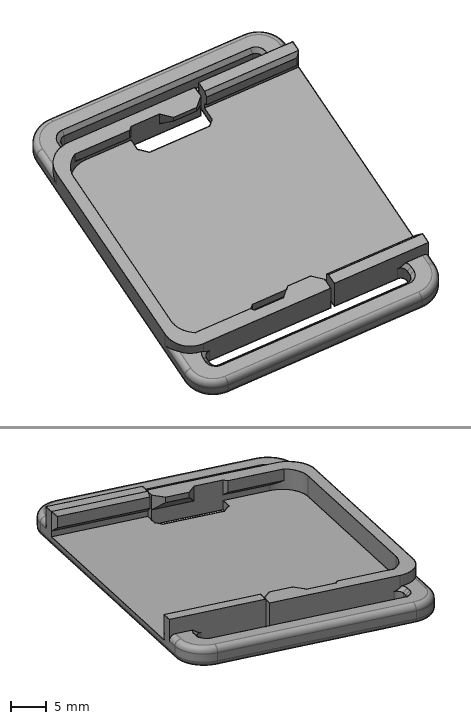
import cadquery as cq

LENGTH = 52.5
DEPTH = 39.85
BASE_HEIGHT = 3.0
BASE_CORNER_RADIUS = 4.45
TOP_EDGE_RADIUS = 0.95
BOTTOM_EDGE_RADIUS = 0.8

TRAY_HALF_WIDTH = 19.95
TRAY_CORNER_RADIUS = 4.0
WALL_HEIGHT = 4.65
RAIL_HEIGHT = 5.4
RAIL_START = 24.85
WALL_GAP = 0.6
WALL_END = RAIL_START - WALL_GAP

FLOOR_HEIGHT = 1.45
WALL_LIP_DEPTH = 0.5
RAIL_LIP_DEPTH = 0.65
CHANNEL_HALF_WIDTH = 18.2
UNDERCUT_START = 2.35
FRONT_WALL = 1.85

WINDOW_START = 13.1
WINDOW_HALF_SPAN = 15.1
WINDOW_FRONT_CHAMFER = 1.25
WINDOW_REAR_CHAMFER = 0.9
TOOTH_DEPTH = 1.45
TOOTH_LENGTH = 6.6

SLOT_WIDTH = 2.8
SLOT_START = 3.95
SLOT_CORNER_RADIUS = 1.0
SLOT_RIM_BEVEL = 0.65
BEVEL_ANGLE = 45
SLOT_LENGTH = DEPTH - 2 * SLOT_START
SLOT_CENTRE = (TRAY_HALF_WIDTH + SLOT_WIDTH / 2, DEPTH / 2)


def mirrored(solid):
    """Return the solid together with its mirror image across the YZ plane."""
    return solid.union(solid.mirror("YZ"))


def prism(points, height, bottom=0.0):
    """Extrude a closed XY outline upward from the given level."""
    return cq.Workplane("XY", origin=(0, 0, bottom)).polyline(points).close().extrude(height - bottom)


def block(x_range, y_range, z_range):
    """Return a box spanning the given ranges."""
    (x0, x1), (y0, y1), (z0, z1) = x_range, y_range, z_range
    return cq.Workplane("XY").box(x1 - x0, y1 - y0, z1 - z0, centered=False).translate((x0, y0, z0))


def base_plate():
    """Rounded plate with one strap slot near each end."""
    plate = cq.Workplane("XY").box(LENGTH, DEPTH, BASE_HEIGHT, centered=(True, False, False))
    plate = plate.edges("|Z").fillet(BASE_CORNER_RADIUS)
    plate = plate.faces(">Z").edges().fillet(TOP_EDGE_RADIUS)
    plate = plate.faces("<Z").edges().fillet(BOTTOM_EDGE_RADIUS)

    slot = (
        cq.Workplane("XY")
        .center(*SLOT_CENTRE)
        .rect(SLOT_WIDTH, SLOT_LENGTH)
        .extrude(BASE_HEIGHT)
        .edges("|Z")
        .fillet(SLOT_CORNER_RADIUS)
    )
    return plate.cut(mirrored(slot)).cut(mirrored(slot_rim()))


def slot_rim():
    """Tapered cutter that bevels the upper rim of a slot."""
    return (
        cq.Workplane("XY", origin=(0, 0, BASE_HEIGHT))
        .center(*SLOT_CENTRE)
        .sketch()
        .rect(SLOT_WIDTH + 2 * SLOT_RIM_BEVEL, SLOT_LENGTH + 2 * SLOT_RIM_BEVEL)
        .vertices()
        .fillet(SLOT_CORNER_RADIUS + SLOT_RIM_BEVEL)
        .finalize()
        .extrude(-SLOT_RIM_BEVEL, taper=BEVEL_ANGLE)
    )


def tray_block():
    """Solid body of the tray: low in front, higher where the rear rails stand."""
    body = block(
        (-TRAY_HALF_WIDTH, TRAY_HALF_WIDTH), (0, DEPTH), (BOTTOM_EDGE_RADIUS, WALL_HEIGHT)
    )
    body = body.edges("|Z and <Y").fillet(TRAY_CORNER_RADIUS)
    rear = block(
        (-TRAY_HALF_WIDTH, TRAY_HALF_WIDTH), (RAIL_START, DEPTH), (BOTTOM_EDGE_RADIUS, RAIL_HEIGHT)
    )
    return body.union(rear)


def channel():
    """Pocket open to the rear, rounded at its two front corners."""
    pocket = block(
        (-CHANNEL_HALF_WIDTH, CHANNEL_HALF_WIDTH), (FRONT_WALL, DEPTH), (FLOOR_HEIGHT, RAIL_HEIGHT)
    )
    return pocket.edges("|Z and <Y").fillet(TRAY_CORNER_RADIUS)


def side_wedge(corner_z, far_z):
    """Full-depth wedge inside the right channel side, bounded by a 45-degree plane through corner_z."""
    return (
        cq.Workplane("XZ")
        .moveTo(CHANNEL_HALF_WIDTH, corner_z)
        .lineTo(CHANNEL_HALF_WIDTH, far_z)
        .lineTo(CHANNEL_HALF_WIDTH - abs(far_z - corner_z), far_z)
        .close()
        .extrude(-DEPTH)
    )


def lip(start, end, depth, height):
    """Inward lip on the right wall, with a 45-degree lead-in at its rear end."""
    crest = CHANNEL_HALF_WIDTH - depth
    outline = [
        (CHANNEL_HALF_WIDTH, start),
        (crest, start),
        (crest, end - depth),
        (CHANNEL_HALF_WIDTH, end),
    ]
    return prism(outline, height, UNDERCUT_START)


def latch_tooth():
    """Trapezoidal tooth at the free end of the right spring arm."""
    tip = CHANNEL_HALF_WIDTH - TOOTH_DEPTH
    outline = [
        (CHANNEL_HALF_WIDTH, WALL_END),
        (tip, WALL_END - TOOTH_DEPTH),
        (tip, WALL_END - TOOTH_LENGTH + TOOTH_DEPTH),
        (CHANNEL_HALF_WIDTH, WALL_END - TOOTH_LENGTH),
    ]
    return prism(outline, WALL_HEIGHT, UNDERCUT_START)


def right_catches():
    """Lips and tooth on the right wall, all undercut by the same sloping plane."""
    below_rail_bevel = side_wedge(RAIL_HEIGHT, UNDERCUT_START)
    above_undercut = side_wedge(UNDERCUT_START, RAIL_HEIGHT)
    rail_lip = lip(RAIL_START, DEPTH, RAIL_LIP_DEPTH, RAIL_HEIGHT).intersect(below_rail_bevel)
    wall_lip = lip(FRONT_WALL, WINDOW_START, WALL_LIP_DEPTH, WALL_HEIGHT)
    return rail_lip.union(wall_lip).union(latch_tooth()).intersect(above_undercut)


def right_window():
    """Opening through the floor that frees the right spring arm, with the gap behind the arm."""
    outline = [
        (CHANNEL_HALF_WIDTH, WINDOW_START),
        (WINDOW_HALF_SPAN + WINDOW_FRONT_CHAMFER, WINDOW_START),
        (WINDOW_HALF_SPAN, WINDOW_START + WINDOW_FRONT_CHAMFER),
        (WINDOW_HALF_SPAN, RAIL_START - WINDOW_REAR_CHAMFER),
        (WINDOW_HALF_SPAN + WINDOW_REAR_CHAMFER, RAIL_START),
        (CHANNEL_HALF_WIDTH, RAIL_START),
    ]
    gap = block((CHANNEL_HALF_WIDTH, TRAY_HALF_WIDTH), (WALL_END, RAIL_START), (0, RAIL_HEIGHT))
    return prism(outline, FLOOR_HEIGHT).union(gap)


result = (
    base_plate()
    .union(tray_block())
    .cut(channel())
    .cut(mirrored(right_window()))
    .union(mirrored(right_catches()))
    .clean()
)